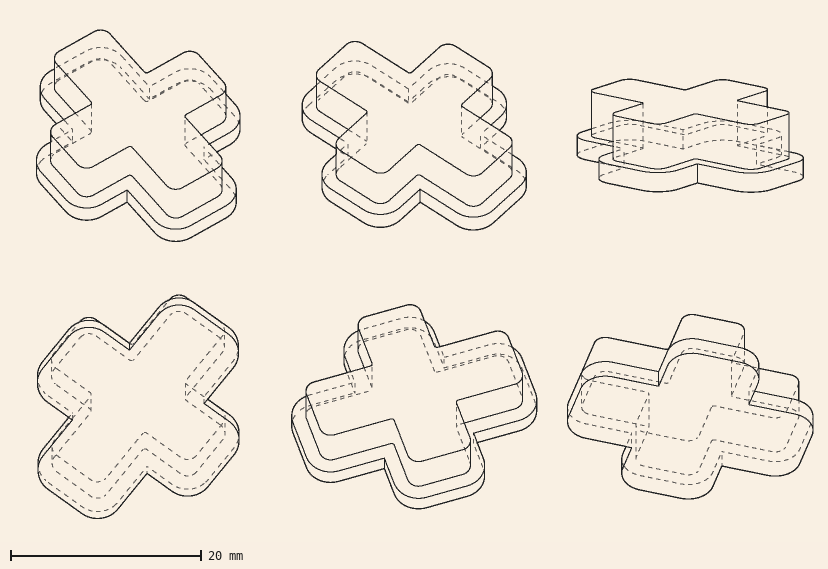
import cadquery as cq

flange_length_x = 25.4
flange_length_y = 21.9
flange_arm_width = 9.9
flange_corner_radius = 2.7
flange_thickness = 2.1

total_height = 7.0
rim_width = 1.5
button_length_x = flange_length_x - 2 * rim_width
button_length_y = flange_length_y - 2 * rim_width
button_arm_width = flange_arm_width - 2 * rim_width
button_corner_radius = flange_corner_radius - rim_width
button_inner_radius = 0.3


def rounded_bar(length_x, length_y, corner_radius, height):
    """Upright bar on the XY plane with rounded vertical edges."""
    bar = cq.Workplane("XY").box(length_x, length_y, height, centered=(True, True, False))
    return bar.edges("|Z").fillet(corner_radius)


def plus_block(length_x, length_y, arm_width, corner_radius, height):
    """Plus-shaped block made of two crossing bars."""
    bar_along_x = rounded_bar(length_x, arm_width, corner_radius, height)
    bar_along_y = rounded_bar(arm_width, length_y, corner_radius, height)
    return bar_along_x.union(bar_along_y)


def make_flange():
    return plus_block(
        flange_length_x, flange_length_y, flange_arm_width, flange_corner_radius, flange_thickness
    )


def make_button():
    """Full-height plus with its four inner corners slightly rounded."""
    button = plus_block(
        button_length_x, button_length_y, button_arm_width, button_corner_radius, total_height
    )
    selection_half = button_arm_width / 2 + button_inner_radius
    inner_corners = cq.selectors.BoxSelector(
        (-selection_half, -selection_half, 0),
        (selection_half, selection_half, total_height),
    )
    return button.edges("|Z").edges(inner_corners).fillet(button_inner_radius)


result = make_flange().union(make_button())